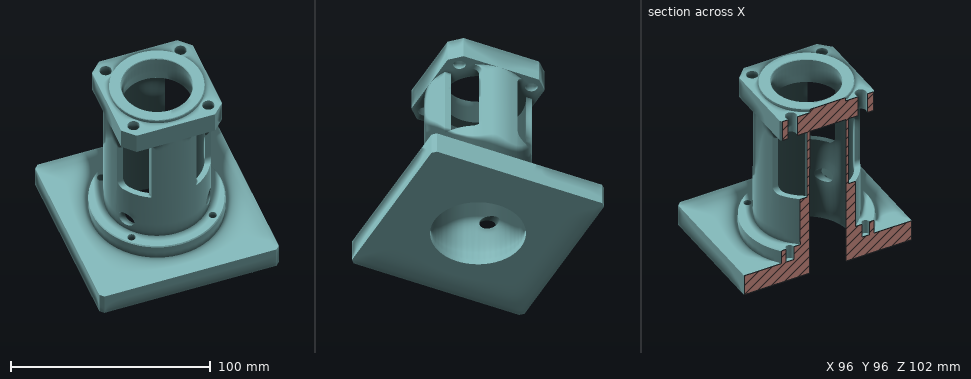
import cadquery as cq

base_side = 96.0
base_height = 12.0
base_chamfer = 2.0

flange_diameter = 69.0
flange_top = 20.0
flange_chamfer = 0.5
flange_hole_diameter = 4.2
flange_hole_depth = flange_top - base_height

tube_diameter = 54.0
tube_bore = 48.0
neck_bore = 36.0
neck_chamfer = 0.3

total_height = 102.0
head_side = tube_diameter
head_chamfer = 6.0
head_bottom = 88.0
head_top = 100.0
head_hole_diameter = 6.2
head_hole_spacing = 40.0
rim_diameter = 48.0
rim_chamfer = 0.3

window_bottom = 48.0
window_x_start = 10.0
window_y_start = 12.0
window_fillet = 4.0

cross_hole_diameter = 8.0
cross_hole_x = 15.0
cross_hole_z = 27.0

flange_hole_circle = (tube_diameter + flange_diameter) / 2


def plate(side, bottom, top, chamfer):
    """Square plate with its vertical edges chamfered."""
    block = cq.Workplane("XY", origin=(0, 0, bottom)).rect(side, side).extrude(top - bottom)
    return block.edges("|Z").chamfer(chamfer)


def disc(diameter, bottom, top):
    """Upright cylinder on the Z axis."""
    return cq.Workplane("XY", origin=(0, 0, bottom)).circle(diameter / 2).extrude(top - bottom)


def window():
    """Cutter for the window in the +X, +Y corner, rounded at the ends of its inner wall."""
    tube_radius = tube_diameter / 2
    cutter = cq.Workplane("XY", origin=(window_x_start, window_y_start, window_bottom)).box(
        tube_radius, tube_radius, head_bottom - window_bottom, centered=False
    )
    return cutter.edges("|Y and <X").fillet(window_fillet)


flange = disc(flange_diameter, base_height, flange_top).faces(">Z").edges().chamfer(flange_chamfer)
rim = disc(rim_diameter, head_top, total_height).faces(">Z").edges().chamfer(rim_chamfer)
result = (
    plate(base_side, 0, base_height, base_chamfer)
    .union(flange)
    .union(disc(tube_diameter, flange_top, head_bottom))
    .union(plate(head_side, head_bottom, head_top, head_chamfer))
    .union(rim)
)

result = result.cut(disc(tube_bore, 0, head_bottom)).cut(disc(neck_bore, head_bottom, total_height))
result = result.faces(">Z").edges("%CIRCLE").edges(cq.selectors.RadiusNthSelector(0)).chamfer(neck_chamfer)

corner_window = window()
window_pair = corner_window.union(corner_window.mirror("YZ"))
result = result.cut(window_pair).cut(window_pair.mirror("XZ"))

head_holes = (
    cq.Workplane("XY", origin=(0, 0, head_bottom))
    .rect(head_hole_spacing, head_hole_spacing, forConstruction=True)
    .vertices()
    .circle(head_hole_diameter / 2)
    .extrude(head_top - head_bottom)
)
result = result.cut(head_holes)

flange_holes = (
    cq.Workplane("XY", origin=(0, 0, flange_top))
    .polarArray(flange_hole_circle / 2, 45, 360, 4)
    .circle(flange_hole_diameter / 2)
    .extrude(-flange_hole_depth)
)
result = result.cut(flange_holes)

cross_hole = (
    cq.Workplane("XZ", origin=(cross_hole_x, 0, cross_hole_z))
    .circle(cross_hole_diameter / 2)
    .extrude(tube_diameter, both=True)
)
result = result.cut(cross_hole)